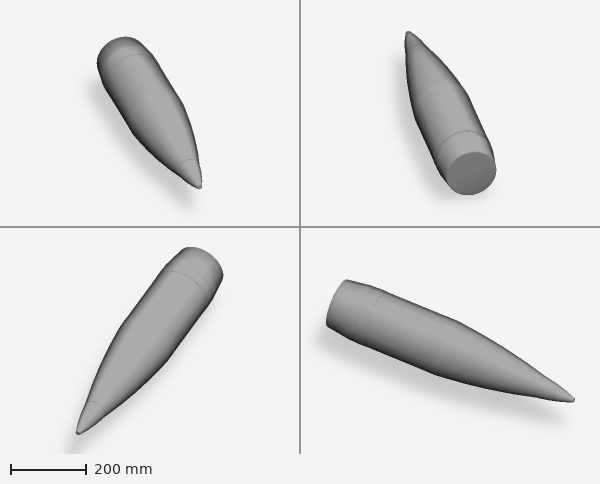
import cadquery as cq


LENGTH = 700.0
BAND_DIAMETER = 156.0
BODY_DIAMETER = 155.0

body_radius = BODY_DIAMETER / 2

BASE_RADIUS = 68.0
BASE_BEVEL = 2.0
BASE_BEVEL_LENGTH = 1.0
TAIL_LENGTH = 68.5

GROOVE_START = 83.0
GROOVE_DEPTH = 1.0
GROOVE_BEVEL = 2.0
GROOVE_FLOOR = 2.0
LAND_LENGTH = 2.0

groove_radius = body_radius - GROOVE_DEPTH
groove_floor_start = GROOVE_START + GROOVE_BEVEL
groove_end = groove_floor_start + GROOVE_FLOOR

RING_SEAT_DEPTH = 7.0
BAND_END = 115.0
BOURRELET_START = 294.0
BOURRELET_END = 321.5
BOURRELET_RISE = 0.35

band_start = groove_end + LAND_LENGTH
band_radius = BAND_DIAMETER / 2
seat_radius = body_radius - RING_SEAT_DEPTH
bourrelet_radius = body_radius + BOURRELET_RISE

OGIVE_START = 338.0
OGIVE_START_RADIUS = 76.0
OGIVE_MIDDLE = 476.0
OGIVE_MIDDLE_RADIUS = 58.0
SHELL_END = 602.0
SHELL_END_RADIUS = 31.0

FUZE_BEVEL_LENGTH = 2.0
FUZE_BEVEL = 1.0
FUZE_MIDDLE = 658.0
FUZE_MIDDLE_RADIUS = 19.5
TIP_RADIUS = 6.0


def turned(outline):
    """Turns a closed outline, drawn as (distance along X, radius), a full turn about the X axis."""
    return outline.close().revolve(360, (0, 0, 0), (1, 0, 0))


def make_shell():
    """Boat tail, body with the groove and both ring seats, and ogive."""
    outline = (
        cq.Workplane("XZ")
        .lineTo(0, BASE_RADIUS - BASE_BEVEL)
        .lineTo(BASE_BEVEL_LENGTH, BASE_RADIUS)
        .lineTo(TAIL_LENGTH, body_radius)
        .lineTo(GROOVE_START, body_radius)
        .lineTo(groove_floor_start, groove_radius)
        .lineTo(groove_end, groove_radius)
        .lineTo(groove_end, body_radius)
        .lineTo(band_start, body_radius)
        .lineTo(band_start, seat_radius)
        .lineTo(BAND_END, seat_radius)
        .lineTo(BAND_END, body_radius)
        .lineTo(BOURRELET_START, body_radius)
        .lineTo(BOURRELET_START, seat_radius)
        .lineTo(BOURRELET_END, seat_radius)
        .lineTo(BOURRELET_END, bourrelet_radius)
        .lineTo(OGIVE_START, OGIVE_START_RADIUS)
        .threePointArc((OGIVE_MIDDLE, OGIVE_MIDDLE_RADIUS), (SHELL_END, SHELL_END_RADIUS))
        .lineTo(SHELL_END, 0)
    )
    return turned(outline)


def make_driving_band():
    """Widest ring, standing slightly proud of the body."""
    outline = (
        cq.Workplane("XZ")
        .moveTo(band_start, seat_radius)
        .lineTo(band_start, band_radius)
        .lineTo(BAND_END, band_radius)
        .lineTo(BAND_END, seat_radius)
    )
    return turned(outline)


def make_bourrelet():
    """Slightly raised plain ring at the front of the body."""
    outline = (
        cq.Workplane("XZ")
        .moveTo(BOURRELET_START, seat_radius)
        .lineTo(BOURRELET_START, bourrelet_radius)
        .lineTo(BOURRELET_END, bourrelet_radius)
        .lineTo(BOURRELET_END, seat_radius)
    )
    return turned(outline)


def make_fuze():
    """Curved nose cone with a flat tip, seated on the end of the shell."""
    outline = (
        cq.Workplane("XZ")
        .moveTo(SHELL_END, 0)
        .lineTo(SHELL_END, SHELL_END_RADIUS - FUZE_BEVEL)
        .lineTo(SHELL_END + FUZE_BEVEL_LENGTH, SHELL_END_RADIUS)
        .threePointArc((FUZE_MIDDLE, FUZE_MIDDLE_RADIUS), (LENGTH, TIP_RADIUS))
        .lineTo(LENGTH, 0)
    )
    return turned(outline)


shell = make_shell()
driving_band = make_driving_band()
bourrelet = make_bourrelet()
fuze = make_fuze()

result = cq.Compound.makeCompound([shell.val(), driving_band.val(), bourrelet.val(), fuze.val()])